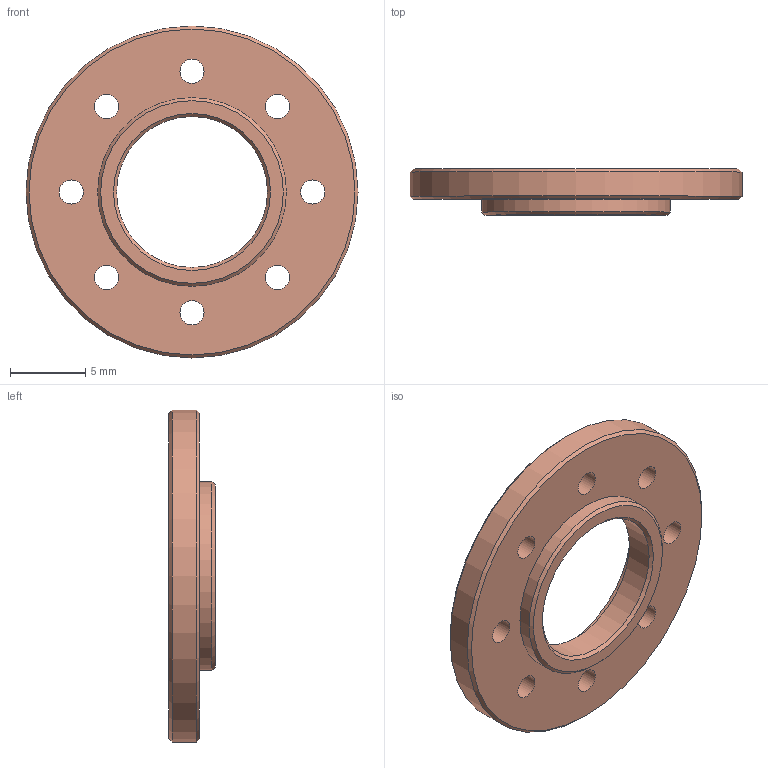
import cadquery as cq

flange_diameter = 22.0
flange_thickness = 2.0
hub_diameter = 12.5
hub_height = 1.05
edge_chamfer = 0.2

bore_diameter = 10.0
recess_diameter = 12.2
recess_depth = flange_thickness / 2

hole_count = 8
hole_diameter = 1.6
bolt_circle_diameter = 16.0

flange_front = 0.0
flange_back = flange_front + flange_thickness
hub_front = flange_front - hub_height
recess_floor = flange_back - recess_depth


def cylinder(diameter, y_front, y_back):
    """Solid cylinder around the Y axis between two Y positions."""
    return (
        cq.Workplane("XZ", origin=(0, y_front, 0))
        .circle(diameter / 2)
        .extrude(-(y_back - y_front))
    )


def make_flange():
    """Main disc with both rims chamfered."""
    return cylinder(flange_diameter, flange_front, flange_back).edges().chamfer(edge_chamfer)


def make_hub():
    """Raised ring on the front face with its front rim chamfered."""
    hub = cylinder(hub_diameter, hub_front, recess_floor)
    return hub.faces("<Y").edges().chamfer(edge_chamfer)


def make_bore():
    """Cutter for the central bore, chamfered at the hub face."""
    bore = cylinder(bore_diameter, hub_front, flange_back)
    mouth = cq.Workplane(
        cq.Solid.makeCone(
            bore_diameter / 2 + edge_chamfer,
            bore_diameter / 2,
            edge_chamfer,
            pnt=cq.Vector(0, hub_front, 0),
            dir=cq.Vector(0, 1, 0),
        )
    )
    return bore.union(mouth)


def make_recess():
    """Cutter for the round recess in the back face."""
    return cylinder(recess_diameter, recess_floor, flange_back)


def make_bolt_holes():
    """Cutters for the ring of through holes, the first one on the +X axis."""
    return (
        cq.Workplane("XZ", origin=(0, flange_front, 0))
        .polarArray(bolt_circle_diameter / 2, 0, 360, hole_count)
        .circle(hole_diameter / 2)
        .extrude(-flange_thickness)
    )


body = make_flange().union(make_hub())
result = body.cut(make_bore()).cut(make_recess()).cut(make_bolt_holes())